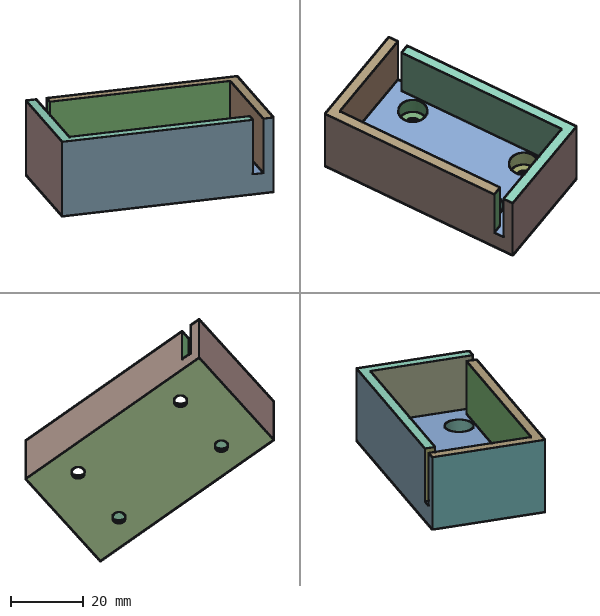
import cadquery as cq

width = 33.0
length = 61.0
height = 22.0

wall = 3.0
floor_thickness = 6.0
slot_width = wall

hole_diameter = 3.6
counterbore_diameter = 8.0
counterbore_depth = 5.0
hole_spacing_x = 18.0
hole_spacing_y = 36.0

inner_width = width - 2 * wall
inner_length = length - 2 * wall
cavity_height = height - floor_thickness


def make_tray():
    """Open-topped box standing on Z = 0, centred in X and Y."""
    block = cq.Workplane("XY").box(width, length, height, centered=(True, True, False))
    cavity = (
        cq.Workplane("XY", origin=(0, 0, floor_thickness))
        .box(inner_width, inner_length, cavity_height, centered=(True, True, False))
    )
    return block.cut(cavity)


def make_slot(side):
    """Slot through one long wall, flush with the floor and an end wall.

    side is -1 for the -X wall at the -Y end, +1 for the opposite corner.
    """
    center_x = side * (width - wall) / 2
    center_y = side * (inner_length - slot_width) / 2
    return (
        cq.Workplane("XY", origin=(center_x, center_y, floor_thickness))
        .box(wall, slot_width, cavity_height, centered=(True, True, False))
    )


def drill_floor(body):
    """Four through holes, counterbored from the tray floor."""
    return (
        body.faces("<Z").workplane(offset=floor_thickness, invert=True, origin=(0, 0, 0))
        .rarray(hole_spacing_x, hole_spacing_y, 2, 2)
        .cboreHole(hole_diameter, counterbore_diameter, counterbore_depth)
    )


tray = make_tray()
for side in (-1, 1):
    tray = tray.cut(make_slot(side))
result = drill_floor(tray)